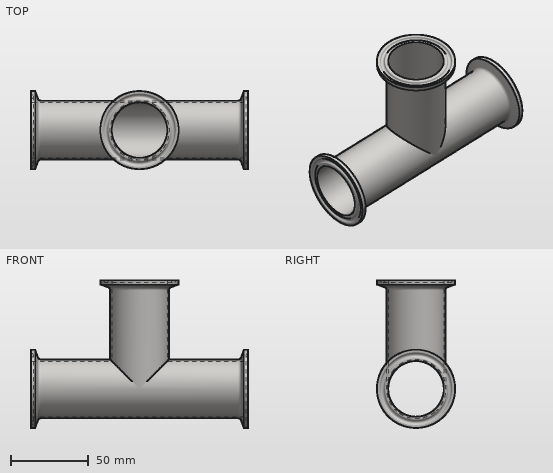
import cadquery as cq
import math

arm_length = 70.0
tube_radius = 38.1 / 2
bore_radius = 35.7 / 2

flange_radius = 50.5 / 2
rim_thickness = 2.8
cone_angle = math.radians(20)
neck_fillet = 2.0

groove_radius = 21.7
groove_half_width = 2.1
groove_bottom_half_width = 1.33
groove_arc_angle = math.radians(70)

cone_height = (flange_radius - tube_radius) * math.tan(cone_angle)
neck_corner = arm_length - rim_thickness - cone_height
neck_turn = math.pi / 2 - cone_angle
neck_tangent = neck_fillet * math.tan(neck_turn / 2)
neck_start = neck_corner - neck_tangent
neck_end_radius = tube_radius + neck_tangent * math.cos(cone_angle)
neck_end = neck_corner + neck_tangent * math.sin(cone_angle)
neck_mid_radius = tube_radius + neck_fillet * (1 - math.cos(neck_turn / 2))
neck_mid = neck_start + neck_fillet * math.sin(neck_turn / 2)

bottom_arc_radius = groove_bottom_half_width / math.sin(groove_arc_angle)
lip_arc_radius = (groove_half_width - groove_bottom_half_width) / math.sin(groove_arc_angle)
lip_depth = lip_arc_radius * (1 - math.cos(groove_arc_angle))
groove_depth = lip_depth + bottom_arc_radius * (1 - math.cos(groove_arc_angle))
lip_mid_offset = groove_half_width - lip_arc_radius * math.sin(groove_arc_angle / 2)
lip_mid_depth = lip_arc_radius * (1 - math.cos(groove_arc_angle / 2))


def groove_point(offset, depth):
    """Point in the radius-height plane, relative to the groove's centre on the face."""
    return (groove_radius + offset, arm_length - depth)


def revolve_about_z(outline):
    return outline.close().revolve(360, (0, 0, 0), (0, 1, 0))


def make_groove():
    outline = (
        cq.Workplane("XZ")
        .moveTo(*groove_point(-groove_half_width, 0))
        .threePointArc(
            groove_point(-lip_mid_offset, lip_mid_depth),
            groove_point(-groove_bottom_half_width, lip_depth),
        )
        .threePointArc(
            groove_point(0, groove_depth),
            groove_point(groove_bottom_half_width, lip_depth),
        )
        .threePointArc(
            groove_point(lip_mid_offset, lip_mid_depth),
            groove_point(groove_half_width, 0),
        )
    )
    return revolve_about_z(outline)


def make_arm():
    """Solid arm along +Z with its ferrule, before boring."""
    outline = (
        cq.Workplane("XZ")
        .lineTo(tube_radius, 0)
        .lineTo(tube_radius, neck_start)
        .threePointArc((neck_mid_radius, neck_mid), (neck_end_radius, neck_end))
        .lineTo(flange_radius, arm_length - rim_thickness)
        .lineTo(flange_radius, arm_length)
        .lineTo(0, arm_length)
    )
    return revolve_about_z(outline).cut(make_groove())


def tilt(body, angle):
    return body.rotate((0, 0, 0), (0, 1, 0), angle)


arm = make_arm()
run = tilt(arm, 90).union(tilt(arm, -90))
body = run.union(arm)

run_bore = cq.Workplane("YZ").circle(bore_radius).extrude(arm_length, both=True)
branch_bore = cq.Workplane("XY").circle(bore_radius).extrude(arm_length)

result = body.cut(run_bore).cut(branch_bore)